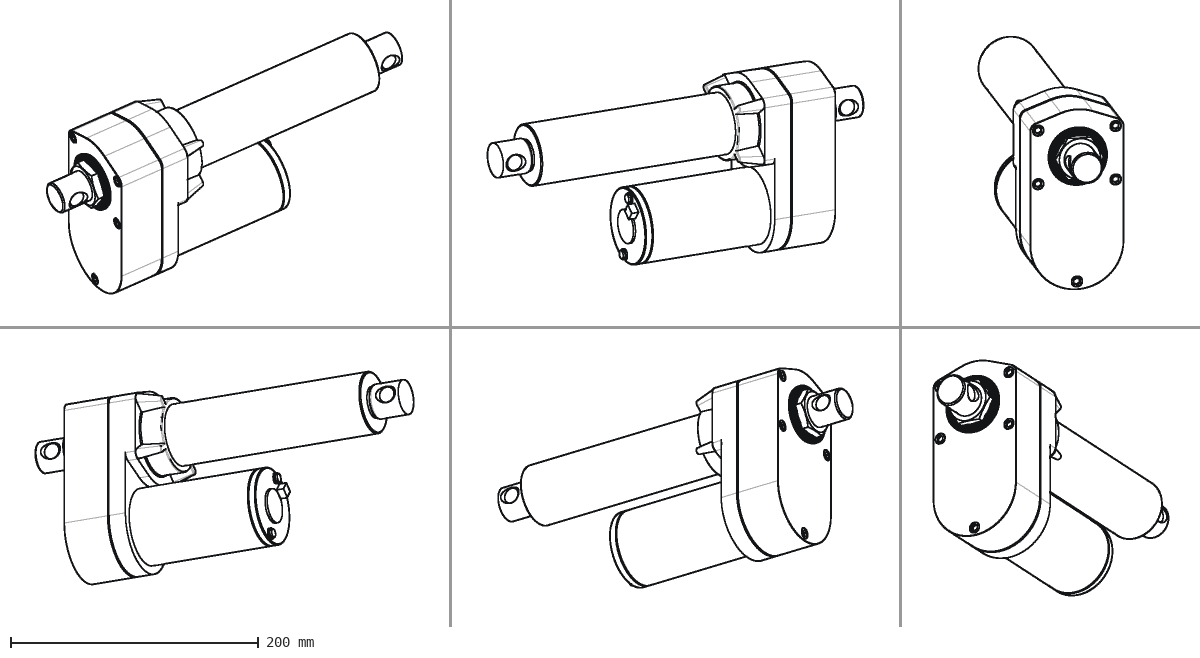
import cadquery as cq
import math


actuator_length = 327.5
hexagon_half_angle = 30.0

gearbox_width = 77.16
gearbox_height = 151.66
end_radius = gearbox_width / 2
motor_axis_z = gearbox_width - gearbox_height
shoulder_angle = 20.0
shoulder_corner_radius = 7.0
lower_corner_radius = 6.0
seam_y = 39.7
seam_width = 1.0
seam_depth = 0.5
lower_back_y = 55.2
upper_back_y = 64.1
face_chamfer = 0.3

screw_x = 32.0
screw_z = 22.5
bottom_screw_z = -106.3
screw_hole_diameter = 9.0
screw_head_diameter = 8.5
screw_hole_depth = 4.0
socket_width = 5.0
socket_depth = 2.0

collar_diameter = 61.0
collar_end_y = 83.9
collar_foot = 1.0
foot_taper = 45.0
collar_rounding = 0.8
rib_front_center = (33.4, 23.5)
rib_front_radius = 4.3
rib_back_center = (29.7, 21.3)
rib_back_radius = 2.6

tube_diameter = 50.8
tube_end_y = 259.7
tube_chamfer = 1.0

rod_diameter = 26.0
rod_head_diameter = 28.6
rod_shoulder_diameter = 27.6
rod_shoulder_y = 262.0
rod_shoulder_length = 1.7
rod_tip_y = 288.5
rod_start_y = collar_end_y
rod_hole_y = 277.1

cross_hole_diameter = 13.0
cross_hole_chamfer = 2.3

ring_neck_diameter = 46.4
ring_diameter = 48.2
ring_neck_y = -2.0
ring_front_y = -4.0
serration_count = 90
serration_width = 0.7
serration_depth = 0.8
nut_width = 35.0
nut_front_y = -11.3
nut_face_diameter = 34.0
nut_chamfer_height = 1.2
stud_diameter = 26.0
stud_tip_y = rod_tip_y - actuator_length
stud_tip_chamfer = 1.2
stud_hole_y = -24.7

motor_diameter = 63.5
motor_seam_diameter = 63.0
motor_seam_y = 161.6
motor_seam_width = 1.0
motor_end_y = 168.7
motor_end_chamfer = 0.8
motor_hub_diameter = 28.0
motor_hub_y = 170.6
motor_screw_x = 5.0
motor_screw_z = 25.4
motor_washer_diameter = 9.0
motor_washer_y = 170.2
motor_screw_diameter = 7.0
motor_screw_y = 172.0
terminal_width = 8.8
terminal_radius = 21.5
terminal_angle = 128.0
terminal_y = 174.9


def section(y):
    """Workplane across the actuator at the given Y, drawn in X and Z."""
    return cq.Workplane("XZ", origin=(0, y, 0))


def cylinder(diameter, start_y, end_y, x=0, z=0):
    return section(start_y).center(x, z).circle(diameter / 2).extrude(start_y - end_y)


def shoulder_points():
    """End of the crown arc and the sharp corner where its tangent meets the side."""
    angle = math.radians(shoulder_angle)
    arc_x = end_radius * math.sin(angle)
    arc_z = end_radius * math.cos(angle)
    corner_z = arc_z - (end_radius - arc_x) * math.tan(angle)
    return arc_x, arc_z, corner_z


def sharp_corners(corner_z):
    """Selects the edges along Y at both sides of the gearbox at the given height."""
    reach = gearbox_height
    margin = 0.1
    return cq.selectors.BoxSelector((-reach, -reach, corner_z - margin), (reach, reach, corner_z + margin))


def gearbox_block(start_y, end_y):
    """Long block: shouldered crown around the tube axis, half round around the motor axis."""
    arc_x, arc_z, corner_z = shoulder_points()
    return (
        section(start_y)
        .moveTo(-end_radius, corner_z)
        .lineTo(-arc_x, arc_z)
        .threePointArc((0, end_radius), (arc_x, arc_z))
        .lineTo(end_radius, corner_z)
        .lineTo(end_radius, motor_axis_z)
        .threePointArc((0, motor_axis_z - end_radius), (-end_radius, motor_axis_z))
        .close()
        .extrude(start_y - end_y)
        .edges(sharp_corners(corner_z))
        .fillet(shoulder_corner_radius)
    )


def tube_block(start_y, end_y):
    """Short block around the tube axis, shouldered above and below."""
    arc_x, arc_z, corner_z = shoulder_points()
    return (
        section(start_y)
        .moveTo(-end_radius, corner_z)
        .lineTo(-arc_x, arc_z)
        .threePointArc((0, end_radius), (arc_x, arc_z))
        .lineTo(end_radius, corner_z)
        .lineTo(end_radius, -corner_z)
        .lineTo(arc_x, -arc_z)
        .threePointArc((0, -end_radius), (-arc_x, -arc_z))
        .lineTo(-end_radius, -corner_z)
        .close()
        .extrude(start_y - end_y)
        .edges(sharp_corners(corner_z))
        .fillet(shoulder_corner_radius)
        .edges(sharp_corners(-corner_z))
        .fillet(lower_corner_radius)
    )


def gearbox():
    front_y = seam_y - seam_width / 2
    back_y = seam_y + seam_width / 2
    front = gearbox_block(0, front_y).faces("<Y").chamfer(face_chamfer)
    seam = section(front_y).add(front.faces(">Y").wires().vals()).toPending()
    seam = seam.offset2D(-seam_depth).extrude(-seam_width)
    back = gearbox_block(back_y, lower_back_y)
    return front.union(seam).union(back).union(tube_block(back_y, upper_back_y))


def cover_screw_cut(x, z):
    """Narrow gap around a screw head, and the socket in the head."""
    hole = cylinder(screw_hole_diameter, 0, screw_hole_depth, x, z)
    head = cylinder(screw_head_diameter, 0, screw_hole_depth, x, z)
    corner_diameter = socket_width / math.cos(math.radians(hexagon_half_angle))
    socket = (
        section(0)
        .center(x, z)
        .transformed(rotate=(0, 0, hexagon_half_angle))
        .polygon(6, corner_diameter)
        .extrude(-socket_depth)
    )
    return hole.cut(head).union(socket)


def rib(side_x, side_z):
    """Tapered rib from the tube axis out to a round edge, at one corner of the collar."""

    def rib_wire(center, radius, y):
        reach = math.hypot(*center)
        along = (center[0] / reach, center[1] / reach)
        across = (-along[1], along[0])

        def point(distance, offset):
            x = along[0] * distance + across[0] * offset
            z = along[1] * distance + across[1] * offset
            return (side_x * x, side_z * z)

        return (
            section(y)
            .moveTo(*point(0, -radius))
            .lineTo(*point(reach, -radius))
            .threePointArc(point(reach + radius, 0), point(reach, radius))
            .lineTo(*point(0, radius))
            .close()
            .wires()
            .val()
        )

    front = rib_wire(rib_front_center, rib_front_radius, upper_back_y)
    back = rib_wire(rib_back_center, rib_back_radius, collar_end_y)
    return cq.Workplane(cq.Solid.makeLoft([front, back], True))


def collar():
    """Ribbed collar with a rounded back edge and a flared foot on the gearbox."""
    body = cylinder(collar_diameter, upper_back_y, collar_end_y)
    for side_x in (-1, 1):
        for side_z in (-1, 1):
            body = body.union(rib(side_x, side_z))
    body = body.faces(">Y").edges().fillet(collar_rounding)
    foot_radius = collar_diameter / 2 + collar_foot
    return body.union(section(upper_back_y).circle(foot_radius).extrude(-collar_foot, taper=foot_taper))


def cross_hole(body_diameter, y):
    """Hole along X with a conical widening at both ends."""
    hole_radius = cross_hole_diameter / 2
    surface_x = body_diameter / 2
    cone_start_x = surface_x - cross_hole_chamfer
    outer_radius = hole_radius + cross_hole_chamfer
    return (
        cq.Workplane("XY", origin=(0, y, 0))
        .moveTo(-surface_x, 0)
        .lineTo(-surface_x, outer_radius)
        .lineTo(-cone_start_x, hole_radius)
        .lineTo(cone_start_x, hole_radius)
        .lineTo(surface_x, outer_radius)
        .lineTo(surface_x, 0)
        .close()
        .revolve(360, (0, 0, 0), (1, 0, 0))
    )


def lock_ring():
    """Ring on a narrower neck, with radial serrations on its front face."""
    ring = cylinder(ring_diameter, ring_neck_y, ring_front_y)
    slot_length = ring_diameter / 2
    slot_center = nut_width / 2 + slot_length / 2
    slots = (
        section(ring_front_y)
        .polarArray(slot_center, 0, 360, serration_count)
        .rect(slot_length, serration_width)
        .extrude(-serration_depth)
    )
    return ring.cut(slots).union(cylinder(ring_neck_diameter, 0, ring_neck_y))


def nut():
    corner_diameter = nut_width / math.cos(math.radians(hexagon_half_angle))
    hexagon = section(ring_front_y).polygon(6, corner_diameter).extrude(ring_front_y - nut_front_y)
    chamfer_width = (corner_diameter - nut_face_diameter) / 2
    rounding = (
        cylinder(corner_diameter, ring_front_y, nut_front_y)
        .faces("<Y")
        .chamfer(nut_chamfer_height, chamfer_width)
    )
    return hexagon.intersect(rounding)


def mounting_stud():
    stud = cylinder(stud_diameter, 0, stud_tip_y).faces("<Y").chamfer(stud_tip_chamfer)
    stud = stud.cut(cross_hole(stud_diameter, stud_hole_y))
    return stud.union(lock_ring()).union(nut())


def motor():
    z = motor_axis_z
    seam_end_y = motor_seam_y + motor_seam_width
    can = cylinder(motor_diameter, lower_back_y, motor_seam_y, 0, z)
    seam = cylinder(motor_seam_diameter, motor_seam_y, seam_end_y, 0, z)
    cap = cylinder(motor_diameter, seam_end_y, motor_end_y, 0, z).faces(">Y").chamfer(motor_end_chamfer)
    body = can.union(seam).union(cap)
    body = body.union(cylinder(motor_hub_diameter, motor_end_y, motor_hub_y, 0, z))
    for side in (-1, 1):
        place_x = -side * motor_screw_x
        place_z = z + side * motor_screw_z
        body = body.union(cylinder(motor_washer_diameter, motor_end_y, motor_washer_y, place_x, place_z))
        body = body.union(cylinder(motor_screw_diameter, motor_end_y, motor_screw_y, place_x, place_z))
    terminal = (
        section(motor_end_y)
        .center(0, z)
        .transformed(rotate=(0, 0, terminal_angle))
        .center(terminal_radius, 0)
        .rect(terminal_width, terminal_width)
        .extrude(motor_end_y - terminal_y)
    )
    return body.union(terminal)


def extension_rod():
    """Plain rod with a wider, cross-drilled head."""
    rod = cylinder(rod_diameter, rod_start_y, rod_shoulder_y)
    shoulder_width = (rod_head_diameter - rod_shoulder_diameter) / 2
    head = (
        cylinder(rod_head_diameter, rod_shoulder_y, rod_tip_y)
        .faces("<Y")
        .chamfer(rod_shoulder_length, shoulder_width)
    )
    return rod.union(head).cut(cross_hole(rod_head_diameter, rod_hole_y))


def actuator():
    """Gearbox, tube, motor and mounting stud, with a blind bore for the rod."""
    body = gearbox()
    body = body.union(collar())
    tube = cylinder(tube_diameter, collar_end_y, tube_end_y).faces(">Y").chamfer(tube_chamfer)
    body = body.union(tube).union(motor()).union(mounting_stud())
    screw_places = [(0, bottom_screw_z)]
    screw_places += [(x, z) for x in (-screw_x, screw_x) for z in (-screw_z, screw_z)]
    for x, z in screw_places:
        body = body.cut(cover_screw_cut(x, z))
    return body.cut(cylinder(rod_diameter, rod_start_y, tube_end_y))


result = cq.Compound.makeCompound([actuator().val(), extension_rod().val()])